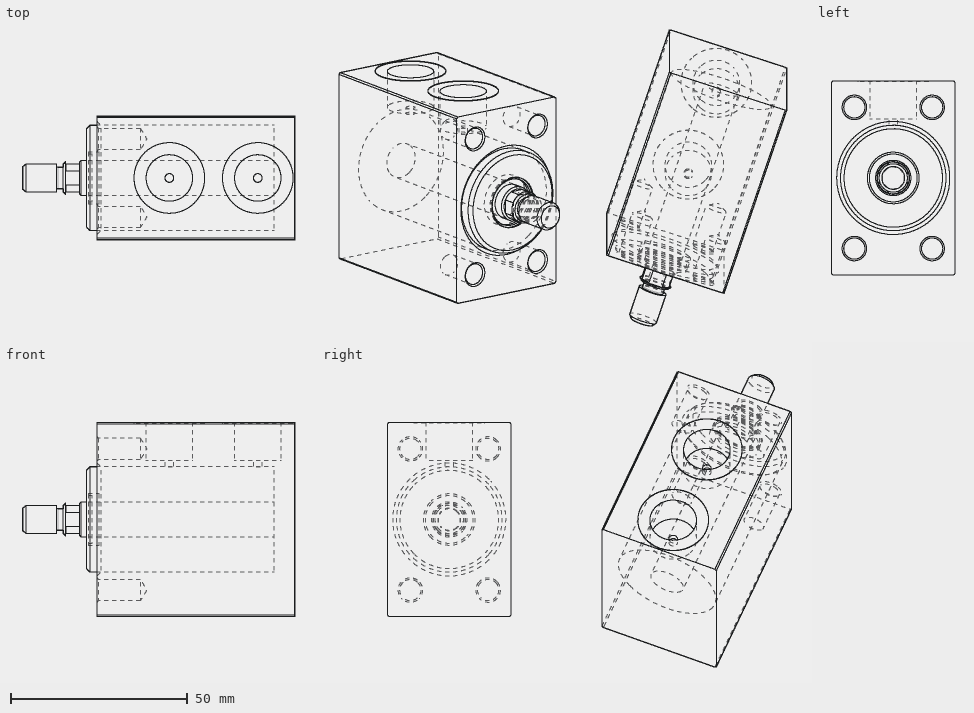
import cadquery as cq
import math


OVERALL_LENGTH = 77
ROD_REACH = 21.0
HOUSING_LENGTH = OVERALL_LENGTH - ROD_REACH
HOUSING_WIDTH = 35.0
HOUSING_HEIGHT = 55.0
EDGE_CHAMFER = 0.5

MOUNT_SPACING_Y = 22.0
MOUNT_SPACING_Z = 40.0
MOUNT_DIAMETER = 6.0
MOUNT_CHAMFER = 0.5
MOUNT_DEPTH = 12.3
DRILL_TIP_ANGLE = 118

FRONT_PORT_X = 20.5
PORT_SPACING = 25.0
PORT_DIAMETER = 13.2
PORT_DEPTH = 10.8
SPOTFACE_DIAMETER = 20
SPOTFACE_DEPTH = 0.15
PASSAGE_DIAMETER = 2.5

CARTRIDGE_RADIUS = 14.9
CARTRIDGE_REACH = 3.0
CARTRIDGE_CHAMFER = 1.0
BORE_DEPTH = 50.05
BORE_CHAMFER = 1.1

WIPER_RADIUS = 7.3
WIPER_RECESS = 0.55
WIPER_FRONT = CARTRIDGE_REACH - WIPER_RECESS
WIPER_LENGTH = 3.1
WIPER_BACK = WIPER_FRONT - WIPER_LENGTH
WIPER_LIP_RADIUS = 6.8
WIPER_LIP_DEPTH = 1.0

ROD_RADIUS = 5.0
SHOULDER_REACH = 5.0
SHOULDER_CHAMFER = 0.55
NECK_RADIUS = ROD_RADIUS - SHOULDER_CHAMFER
NECK_END = 8.7
COLLAR_RIM = 8.9
COLLAR_RADIUS = 4.6
FLATS_WIDTH = 8.0
COLLAR_END = 9.55
THREAD_RADIUS = FLATS_WIDTH / 2
THREAD_START = 11.4
GROOVE_RADIUS = 3.1
GROOVE_TAPER_LENGTH = 0.4
GROOVE_TAPER_RISE = 0.1
TIP_CHAMFER_LENGTH = 1.0
TIP_CHAMFER_DEPTH = 0.8


def turned(profile):
    """Solid of revolution about X from (distance ahead of the front face, radius) pairs."""
    points = [(-ahead, radius) for ahead, radius in profile]
    return cq.Workplane("XY").polyline(points).close().revolve(360, (0, 0), (1, 0))


def round_bar(start, end, radius):
    """Round bar along X between two distances ahead of the front face."""
    return turned([(start, 0), (start, radius), (end, radius), (end, 0)])


def mounting_holes():
    """Four chamfered blind holes with conical drill tips, entering the front face."""
    radius = MOUNT_DIAMETER / 2
    tip_length = radius / math.tan(math.radians(DRILL_TIP_ANGLE / 2))
    hole = turned([
        (0, 0),
        (0, radius + MOUNT_CHAMFER),
        (-MOUNT_CHAMFER, radius),
        (-MOUNT_DEPTH, radius),
        (-MOUNT_DEPTH - tip_length, 0),
    ])
    return [
        hole.translate((0, side_y * MOUNT_SPACING_Y / 2, side_z * MOUNT_SPACING_Z / 2))
        for side_y in (-1, 1)
        for side_z in (-1, 1)
    ]


def port(x):
    """Stepped port from the top face, with a passage down into the bore."""
    top = cq.Workplane("XY", origin=(x, 0, HOUSING_HEIGHT / 2))
    spotface = top.circle(SPOTFACE_DIAMETER / 2).extrude(-SPOTFACE_DEPTH)
    chamber = top.circle(PORT_DIAMETER / 2).extrude(-PORT_DEPTH)
    passage = top.circle(PASSAGE_DIAMETER / 2).extrude(-HOUSING_HEIGHT / 2)
    return spotface.union(chamber).union(passage)


def make_housing():
    block = (
        cq.Workplane("XY")
        .box(HOUSING_LENGTH, HOUSING_WIDTH, HOUSING_HEIGHT, centered=(False, True, True))
        .edges("|X")
        .chamfer(EDGE_CHAMFER)
    )
    bore = turned([
        (0, 0),
        (0, CARTRIDGE_RADIUS + BORE_CHAMFER),
        (-BORE_CHAMFER, CARTRIDGE_RADIUS),
        (-BORE_DEPTH, CARTRIDGE_RADIUS),
        (-BORE_DEPTH, 0),
    ])
    housing = block.cut(bore)
    for hole in mounting_holes():
        housing = housing.cut(hole)
    for port_x in (FRONT_PORT_X, FRONT_PORT_X + PORT_SPACING):
        housing = housing.cut(port(port_x))
    return housing


def make_cartridge():
    blank = turned([
        (-BORE_DEPTH, 0),
        (-BORE_DEPTH, CARTRIDGE_RADIUS),
        (CARTRIDGE_REACH - CARTRIDGE_CHAMFER, CARTRIDGE_RADIUS),
        (CARTRIDGE_REACH, CARTRIDGE_RADIUS - CARTRIDGE_CHAMFER),
        (CARTRIDGE_REACH, 0),
    ])
    rod_hole = round_bar(-BORE_DEPTH, CARTRIDGE_REACH, ROD_RADIUS)
    wiper_seat = round_bar(WIPER_BACK, CARTRIDGE_REACH, WIPER_RADIUS)
    return blank.cut(rod_hole).cut(wiper_seat)


def make_wiper():
    """Ring with a stepped front: a raised outer rim around a lower floor."""
    floor = WIPER_FRONT - WIPER_LIP_DEPTH
    return turned([
        (WIPER_BACK, ROD_RADIUS),
        (WIPER_BACK, WIPER_RADIUS),
        (WIPER_FRONT, WIPER_RADIUS),
        (WIPER_FRONT, WIPER_LIP_RADIUS),
        (floor, WIPER_LIP_RADIUS),
        (floor, ROD_RADIUS),
    ])


def wrench_flats():
    """Material outside a square bar, removed between the shoulder and the collar."""
    length = COLLAR_RIM - SHOULDER_REACH
    start = cq.Workplane("YZ", origin=(-COLLAR_RIM, 0, 0))
    around = start.circle(2 * ROD_RADIUS).extrude(length)
    square = start.rect(FLATS_WIDTH, FLATS_WIDTH).extrude(length)
    return around.cut(square)


def make_rod():
    bar = turned([
        (-BORE_DEPTH, 0),
        (-BORE_DEPTH, ROD_RADIUS),
        (SHOULDER_REACH - SHOULDER_CHAMFER, ROD_RADIUS),
        (SHOULDER_REACH, NECK_RADIUS),
        (NECK_END, NECK_RADIUS),
        (COLLAR_RIM, COLLAR_RADIUS),
        (COLLAR_END, THREAD_RADIUS),
        (COLLAR_END, GROOVE_RADIUS),
        (THREAD_START - GROOVE_TAPER_LENGTH, GROOVE_RADIUS),
        (THREAD_START, GROOVE_RADIUS + GROOVE_TAPER_RISE),
        (THREAD_START, THREAD_RADIUS),
        (ROD_REACH - TIP_CHAMFER_LENGTH, THREAD_RADIUS),
        (ROD_REACH, THREAD_RADIUS - TIP_CHAMFER_DEPTH),
        (ROD_REACH, 0),
    ])
    return bar.cut(wrench_flats())


housing = make_housing()
cartridge = make_cartridge()
wiper = make_wiper()
rod = make_rod()

result = cq.Compound.makeCompound([housing.val(), cartridge.val(), wiper.val(), rod.val()])